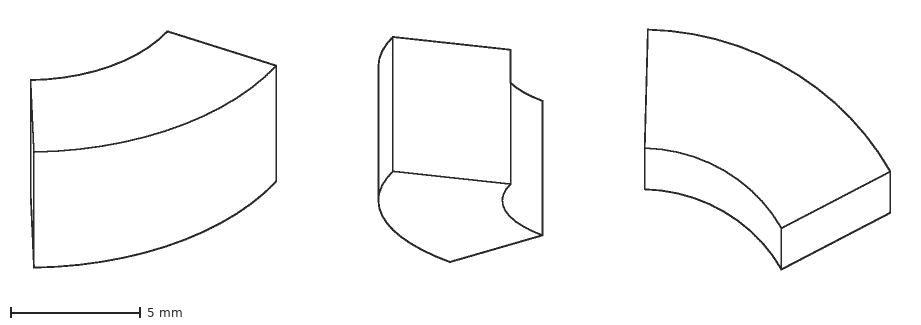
import cadquery as cq
import math

outer_radius = 11.0
inner_radius = 6.2
height = 5.5
sweep_angle = 60.0


def point_on_arc(radius, angle):
    """Point at the given radius and angle in degrees from the X axis."""
    radians = math.radians(angle)
    return radius * math.cos(radians), radius * math.sin(radians)


half_angle = sweep_angle / 2

result = (
    cq.Workplane("XY")
    .moveTo(*point_on_arc(inner_radius, -half_angle))
    .lineTo(*point_on_arc(outer_radius, -half_angle))
    .threePointArc((outer_radius, 0), point_on_arc(outer_radius, half_angle))
    .lineTo(*point_on_arc(inner_radius, half_angle))
    .threePointArc((inner_radius, 0), point_on_arc(inner_radius, -half_angle))
    .close()
    .extrude(height)
)